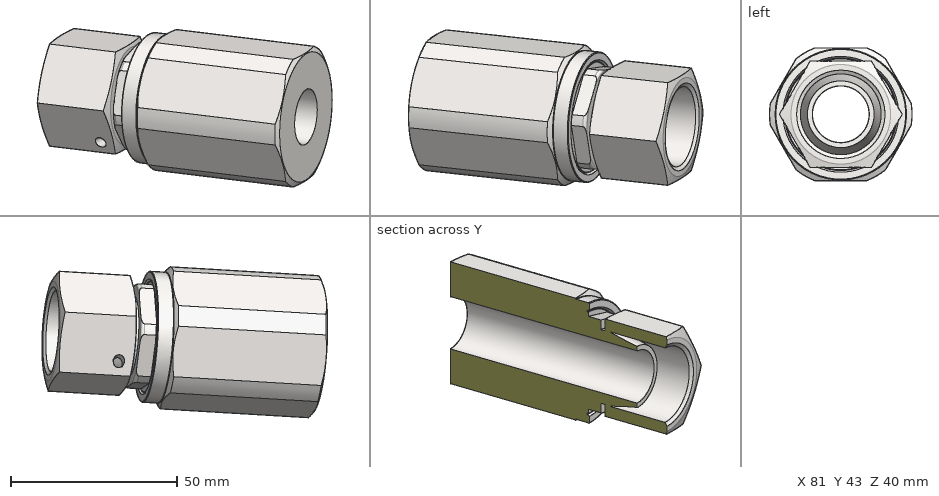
import cadquery as cq
import math


NUT_END = 23.4
LOCKNUT_START = 24.6
COLLAR_START = 29.0
BODY_START = 34.05
LENGTH = 81.05

NUT_FLATS = 32.0
NUT_FACE_RADIUS = 15.0
NUT_CHAMFER = 0.9
NUT_BORE_RADIUS = 12.15
NUT_MOUTH_RADIUS = 13.3
NUT_MOUTH_DEPTH = 0.7

WIRE_HOLE_DIAMETER = 3.4
WIRE_HOLE_X = 18.65
WIRE_HOLE_Z = -12.15
WIRE_HOLE_FLOOR_RADIUS = 14.2

NIPPLE_TIP_X = 11.2
NIPPLE_TIP_RADIUS = 10.05
NIPPLE_CONE_ANGLE = 12.0
THROUGH_BORE_RADIUS = 8.5
NECK_RADIUS = 12.15

LOCKNUT_FLATS = 30.0
LOCKNUT_CORNER_RADIUS = 16.45
LOCKNUT_ROUNDING = 1.0
LOCKNUT_FLANGE_RADIUS = 16.7
LOCKNUT_FLANGE_SETBACK = 0.3
LOCKNUT_TURN = 11.0

COLLAR_RADIUS = 19.8
COLLAR_EDGE = 0.25
RECESS_MOUTH_RADIUS = 17.4
RECESS_FLOOR_RADIUS = 16.9
RECESS_DEPTH = 0.8

BODY_FLATS = 40.0
BODY_CORNER_RADIUS = 21.5
BODY_FACE_RADIUS = 19.8
BODY_FRONT_CHAMFER = 1.05
BODY_REAR_CHAMFER = 0.8


def turned(points):
    """Revolve a closed (x, radius) outline about the X axis."""
    return cq.Workplane("XY").polyline(points).close().revolve(360, (0, 0, 0), (1, 0, 0))


def corner_radius(flats):
    """Radius of the sharp corners of a hexagon."""
    return flats / 2 / math.cos(math.radians(30))


def hexagon(start, end, flats):
    """Hexagonal prism along X with two of its edges on the XY plane."""
    return (
        cq.Workplane("YZ", origin=(start, 0, 0))
        .polygon(6, 2 * corner_radius(flats))
        .extrude(end - start)
    )


def disc(start, end, radius):
    return cq.Workplane("YZ", origin=(start, 0, 0)).circle(radius).extrude(end - start)


def chamfered_hexagon(start, end, flats, radius, face_radius, front_length, rear_length):
    """Hexagon with its corners turned to radius and coned down to face_radius at both ends."""
    envelope = turned([
        (start, 0),
        (start, face_radius),
        (start + front_length, radius),
        (end - rear_length, radius),
        (end, face_radius),
        (end, 0),
    ])
    return hexagon(start, end, flats).intersect(envelope)


def union_nut():
    nut = chamfered_hexagon(
        0, NUT_END, NUT_FLATS, corner_radius(NUT_FLATS),
        NUT_FACE_RADIUS, NUT_CHAMFER, NUT_CHAMFER,
    )

    cone_length = (NUT_BORE_RADIUS - NIPPLE_TIP_RADIUS) / math.tan(math.radians(NIPPLE_CONE_ANGLE))
    cavity = turned([
        (0, 0),
        (0, NUT_MOUTH_RADIUS),
        (NUT_MOUTH_DEPTH, NUT_BORE_RADIUS),
        (NIPPLE_TIP_X + cone_length, NUT_BORE_RADIUS),
        (NIPPLE_TIP_X, NIPPLE_TIP_RADIUS),
        (NIPPLE_TIP_X, 0),
    ])
    return nut.cut(cavity).cut(wire_hole())


def wire_hole():
    """Hole along +Y that stops on a round core about the fitting's axis."""
    drill = (
        cq.Workplane("XZ", origin=(WIRE_HOLE_X, 0, WIRE_HOLE_Z))
        .circle(WIRE_HOLE_DIAMETER / 2)
        .extrude(NUT_FLATS / 2)
    )
    return drill.cut(disc(0, NUT_END, WIRE_HOLE_FLOOR_RADIUS))


def locknut():
    """Hexagon with rounded-over corners, seated on a thin round flange."""
    flange_face = COLLAR_START + LOCKNUT_FLANGE_SETBACK
    envelope = disc(LOCKNUT_START, flange_face, LOCKNUT_CORNER_RADIUS)
    envelope = envelope.faces("<X").edges().fillet(LOCKNUT_ROUNDING)
    nut = hexagon(LOCKNUT_START, flange_face, LOCKNUT_FLATS).intersect(envelope)
    nut = nut.rotate((0, 0, 0), (1, 0, 0), LOCKNUT_TURN)
    return nut.union(disc(flange_face, COLLAR_START + RECESS_DEPTH, LOCKNUT_FLANGE_RADIUS))


def collar():
    recess_floor = COLLAR_START + RECESS_DEPTH
    return turned([
        (recess_floor, 0),
        (recess_floor, RECESS_FLOOR_RADIUS),
        (COLLAR_START, RECESS_MOUTH_RADIUS),
        (COLLAR_START, COLLAR_RADIUS - COLLAR_EDGE),
        (COLLAR_START + COLLAR_EDGE, COLLAR_RADIUS),
        (BODY_START - COLLAR_EDGE, COLLAR_RADIUS),
        (BODY_START, COLLAR_RADIUS - COLLAR_EDGE),
        (BODY_START, 0),
    ])


def body():
    return chamfered_hexagon(
        BODY_START, LENGTH, BODY_FLATS, BODY_CORNER_RADIUS,
        BODY_FACE_RADIUS, BODY_FRONT_CHAMFER, BODY_REAR_CHAMFER,
    )


neck = disc(NUT_END, LOCKNUT_START, NECK_RADIUS)
through_bore = disc(0, LENGTH, THROUGH_BORE_RADIUS)

result = (
    union_nut()
    .union(neck)
    .union(locknut())
    .union(collar())
    .union(body())
    .cut(through_bore)
)